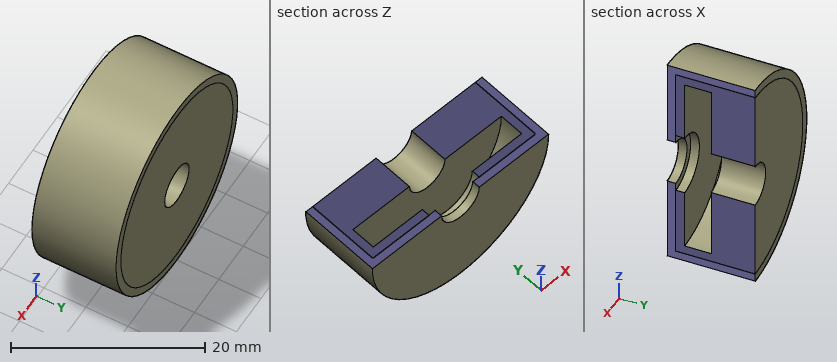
import cadquery as cq

outer_diameter = 24.95
width = 10.0
wall = 1.0
front_hole_diameter = 5.3
lip_hole_diameter = 7.05
rear_hole_diameter = 5.0
insert_lip = 1.0
insert_rim = 1.0
chamber_floor_depth = 5.0

insert_diameter = outer_diameter - 2 * wall
chamber_diameter = insert_diameter - 2 * insert_rim
chamber_start = wall + insert_lip
front_y = -width / 2


def disc(diameter, start, end):
    """Cylinder along +Y between two depths behind the front face."""
    plane = cq.Workplane("XZ", origin=(0, front_y + start, 0))
    return plane.circle(diameter / 2).extrude(start - end)


def make_housing():
    """Thin-walled cup, open at the back, with a hole in its front wall."""
    body = disc(outer_diameter, 0, width)
    cavity = disc(insert_diameter, wall, width)
    hole = disc(front_hole_diameter, 0, wall)
    return body.cut(cavity).cut(hole)


def make_insert():
    """Plug that fills the housing, with a round chamber between a lip hole and a rear hole."""
    body = disc(insert_diameter, wall, width)
    lip_hole = disc(lip_hole_diameter, wall, chamber_start)
    chamber = disc(chamber_diameter, chamber_start, chamber_floor_depth)
    rear_hole = disc(rear_hole_diameter, chamber_floor_depth, width)
    return body.cut(lip_hole).cut(chamber).cut(rear_hole)


housing = make_housing()
insert = make_insert()

result = cq.Compound.makeCompound([housing.val(), insert.val()])